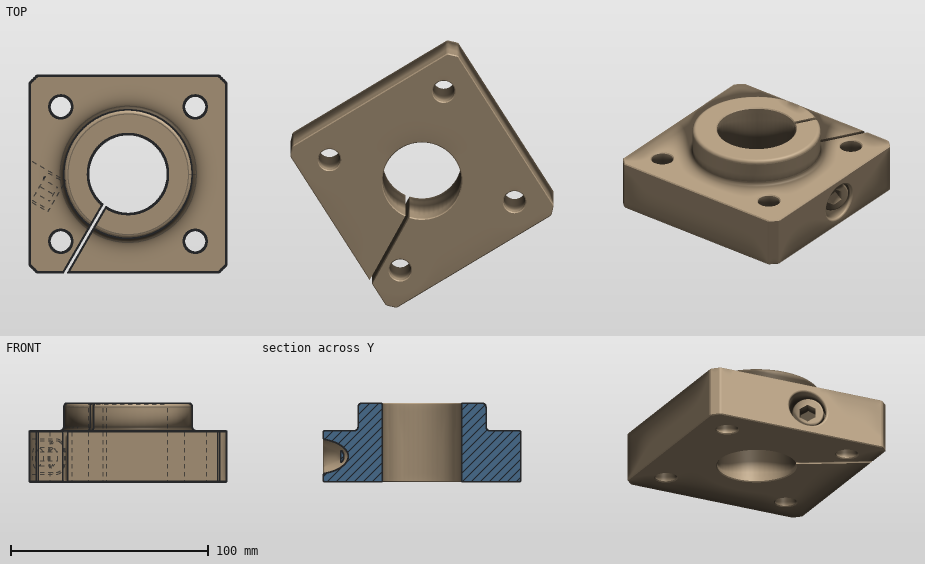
import cadquery as cq
import math

side = 100.0
plate_height = 26.0
corner_cut = 4.0
edge_break = 0.5
plate_hole_diameter = 11.0
plate_hole_offset = 34.0

total_height = 40.0
boss_diameter = 65.0
boss_round = 2.0
bore_diameter = 40.0

slot_width = 2.2
slot_angle = 60.0
slot_offset = 2.4

screw_entry_y = -3.1
counterbore_diameter = 18.0
counterbore_round = 1.0
head_diameter = 16.0
head_height = 10.0
head_round = 0.8
head_recess = 6.0
socket_flats = 8.0
socket_depth = 8.0


def make_plate():
    """Square plate with cut corners and broken edges."""
    plate = cq.Workplane("XY").rect(side, side).extrude(plate_height)
    plate = plate.edges("|Z").chamfer(corner_cut)
    return plate.edges().chamfer(edge_break)


def make_boss():
    """Boss of revolution with a rounded rim and a concave round at its foot."""
    radius = boss_diameter / 2
    foot_arc = boss_round * (1 - math.sqrt(0.5))
    profile = (
        cq.Workplane("XZ")
        .moveTo(0, plate_height - edge_break)
        .lineTo(radius + boss_round, plate_height - edge_break)
        .lineTo(radius + boss_round, plate_height)
        .threePointArc(
            (radius + foot_arc, plate_height + foot_arc),
            (radius, plate_height + boss_round),
        )
        .lineTo(radius, total_height)
        .lineTo(0, total_height)
        .close()
    )
    return profile.revolve(360, (0, 0, 0), (0, 1, 0)).edges(">Z").fillet(boss_round)


def through_hole(diameter, height):
    """Cutter for a vertical through hole with both rims broken."""
    hole = cq.Workplane("XY").circle(diameter / 2).extrude(height)
    rim_radius = diameter / 2 + edge_break
    lower_rim = cq.Solid.makeCone(rim_radius, diameter / 2, edge_break)
    upper_rim = cq.Solid.makeCone(
        rim_radius, diameter / 2, edge_break, cq.Vector(0, 0, height), cq.Vector(0, 0, -1)
    )
    return hole.union(cq.Workplane(lower_rim)).union(cq.Workplane(upper_rim))


def make_slot():
    """Cutter running from inside the bore out through the -Y side."""
    return (
        cq.Workplane("XY")
        .center(-side / 2, slot_offset)
        .rect(side, slot_width)
        .extrude(total_height)
        .rotate((0, 0, 0), (0, 0, 1), slot_angle)
    )


def screw_plane(depth):
    """Plane across the screw axis, at a depth measured from the -X side."""
    angle = math.radians(slot_angle - 90)
    direction = cq.Vector(math.cos(angle), math.sin(angle), 0)
    entry = cq.Vector(-side / 2, screw_entry_y, plate_height / 2)
    return cq.Plane(origin=entry + direction * depth, xDir=(0, 0, 1), normal=direction)


def cut_counterbore(body):
    """Slanted blind bore for the screw head, with its rim rounded."""
    floor_depth = head_recess + head_height
    cutter = (
        cq.Workplane(screw_plane(floor_depth))
        .circle(counterbore_diameter / 2)
        .extrude(-floor_depth - counterbore_diameter)
    )
    rim_center = screw_plane(0).origin.toTuple()
    rim = body.cut(cutter).edges(cq.selectors.NearestToPointSelector(rim_center))
    return rim.fillet(counterbore_round)


def make_screw_head():
    """Socket cap head seated on the counterbore floor."""
    head = (
        cq.Workplane(screw_plane(head_recess))
        .circle(head_diameter / 2)
        .extrude(head_height)
    )
    front_point = screw_plane(head_recess).origin.toTuple()
    head = head.faces(cq.selectors.NearestToPointSelector(front_point)).edges().fillet(head_round)
    socket = (
        cq.Workplane(screw_plane(head_recess))
        .polygon(6, socket_flats / math.cos(math.pi / 6))
        .extrude(socket_depth)
    )
    return head.cut(socket)


result = make_plate().union(make_boss())
result = result.cut(through_hole(bore_diameter, total_height))
for x_sign in (-1, 1):
    for y_sign in (-1, 1):
        position = (x_sign * plate_hole_offset, y_sign * plate_hole_offset, 0)
        result = result.cut(through_hole(plate_hole_diameter, plate_height).translate(position))
result = cut_counterbore(result)
result = result.union(make_screw_head())
result = result.cut(make_slot())